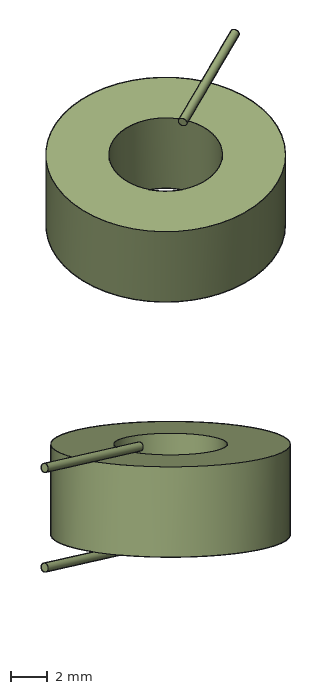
import cadquery as cq

overall_length = 17.1
overall_height = 6.0

core_diameter = 13.0
core_bore = 6.15
core_height = 5.0

lead_diameter = (overall_height - core_height) / 2
lead_length = 8.0
lead_end_y = overall_length - core_diameter / 2
lead_offset_z = (core_height + lead_diameter) / 2


def make_core():
    """Plain ring with a through bore."""
    return (
        cq.Workplane("XY", origin=(0, 0, -core_height / 2))
        .circle(core_diameter / 2)
        .circle(core_bore / 2)
        .extrude(core_height)
    )


def make_lead(side):
    """Round wire touching the top (side = 1) or bottom (side = -1) face of the core."""
    return (
        cq.Workplane("XZ", origin=(0, lead_end_y, side * lead_offset_z))
        .circle(lead_diameter / 2)
        .extrude(lead_length)
    )


core = make_core()
leads = [make_lead(side) for side in (1, -1)]

result = cq.Compound.makeCompound([core.val(), *[lead.val() for lead in leads]])